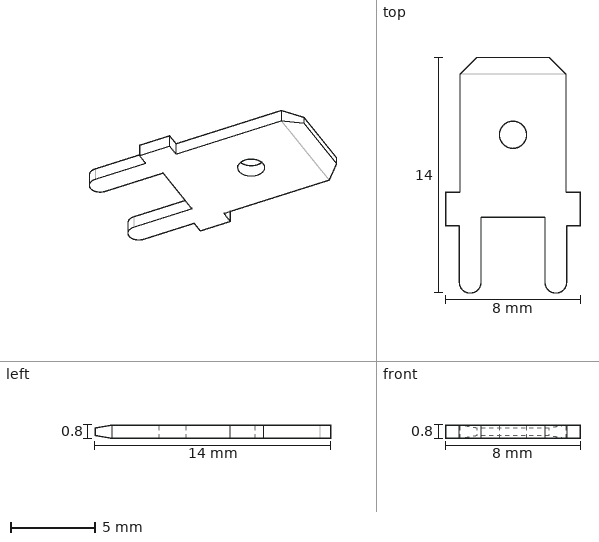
import cadquery as cq

thickness = 0.8
blade_width = 6.3
blade_length = 8.0
shoulder_width = 8.0
shoulder_height = 2.0
leg_pitch = 5.08
leg_width = 1.3
leg_length = 4.0
slot_relief = 0.5
tip_length = 1.0
tip_corner = 1.0
tip_thickness = 0.45
hole_diameter = 1.6
hole_from_tip = 4.6

leg_radius = leg_width / 2
leg_x = leg_pitch / 2
leg_end_y = -leg_length
tip_y = shoulder_height + blade_length
bevel_y = tip_y - tip_length


def bottom_plane():
    """Workplane on the lower face, so the sheet is centred on Z = 0."""
    return cq.Workplane("XY", origin=(0, 0, -thickness / 2))


def make_body():
    """Flat blade with cut tip corners, standing on the wider shoulder bar."""
    half_blade = blade_width / 2
    half_tip = half_blade - tip_corner
    half_shoulder = shoulder_width / 2
    return (
        bottom_plane()
        .moveTo(-half_shoulder, 0)
        .lineTo(half_shoulder, 0)
        .lineTo(half_shoulder, shoulder_height)
        .lineTo(half_blade, shoulder_height)
        .lineTo(half_blade, bevel_y)
        .lineTo(half_tip, tip_y)
        .lineTo(-half_tip, tip_y)
        .lineTo(-half_blade, bevel_y)
        .lineTo(-half_blade, shoulder_height)
        .lineTo(-half_shoulder, shoulder_height)
        .close()
        .extrude(thickness)
    )


def make_slot():
    """Relief cut into the shoulder bar between the legs."""
    slot_width = leg_pitch - leg_width
    return (
        bottom_plane()
        .rect(slot_width, 2 * slot_relief)
        .extrude(thickness)
    )


def make_leg(center_x):
    """Solder leg with a full-round end, rooted in the shoulder bar."""
    left = center_x - leg_radius
    right = center_x + leg_radius
    round_start_y = leg_end_y + leg_radius
    return (
        bottom_plane()
        .moveTo(left, slot_relief)
        .lineTo(left, round_start_y)
        .threePointArc((center_x, leg_end_y), (right, round_start_y))
        .lineTo(right, slot_relief)
        .close()
        .extrude(thickness)
    )


def make_tip_bevel(side):
    """Wedge removed from one face of the tip; side is +1 (top) or -1 (bottom)."""
    face_z = side * thickness / 2
    tip_z = side * tip_thickness / 2
    return (
        cq.Workplane("YZ")
        .polyline([(bevel_y, face_z), (tip_y, face_z), (tip_y, tip_z)])
        .close()
        .extrude(blade_width / 2, both=True)
    )


def make_hole():
    """Detent hole through the blade."""
    return (
        bottom_plane()
        .center(0, tip_y - hole_from_tip)
        .circle(hole_diameter / 2)
        .extrude(thickness)
    )


result = make_body().cut(make_slot()).cut(make_hole())
for side in (-1, 1):
    result = result.union(make_leg(side * leg_x))
    result = result.cut(make_tip_bevel(side))